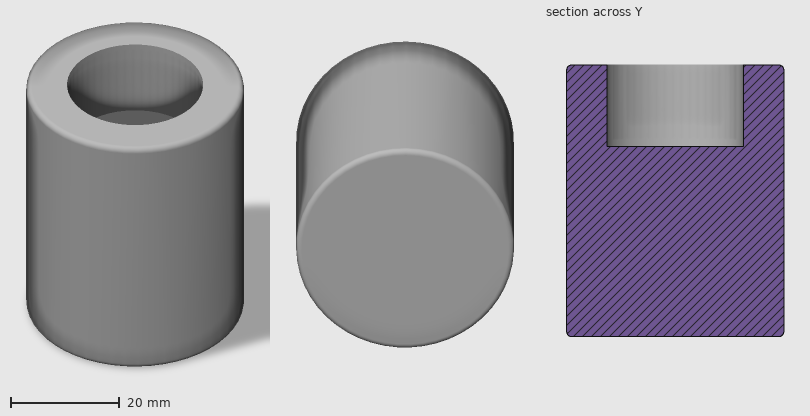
import cadquery as cq

outer_diameter = 40
height = 50
bore_diameter = 25
bore_depth = 15
edge_radius = 1

body = cq.Workplane("XY").circle(outer_diameter / 2).extrude(height)
body = body.edges("%CIRCLE").fillet(edge_radius)

result = body.faces(">Z").workplane().hole(bore_diameter, bore_depth)